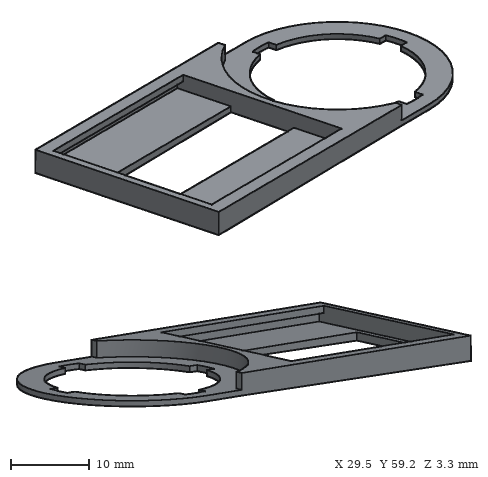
import cadquery as cq

total_length = 59.25
width = 29.5
ring_radius = width / 2
front_y = ring_radius - total_length

ring_thickness = 0.75
top_z = 2.95
underside_drop = 0.35
front_lean = 0.03

hole_radius = 11.25
notch_radius = 12.5
notch_width = 3.4

holder_back_y = -5.8
clearance_radius = 14.9

pocket_width = 25.5
pocket_back_y = -15.9
pocket_front_y = -43.3
pocket_floor_z = ring_thickness

lip_thickness = 0.95
groove_depth = 0.95
groove_width = pocket_width + 2 * groove_depth

window_width = 10.15
window_front_y = -42.25


def box_between(size_x, y_front, y_back, z_low, z_high):
    """Box centred on X between the given Y and Z limits."""
    return cq.Workplane("XY").box(
        size_x, y_back - y_front, z_high - z_low, centered=(True, False, False)
    ).translate((0, y_front, z_low))


def make_ring_plate():
    """Thin round-ended plate that runs under the back of the holder."""
    disc = cq.Workplane("XY").circle(ring_radius).extrude(ring_thickness)
    tail = box_between(width, pocket_back_y, 0, 0, ring_thickness)
    return disc.union(tail)


def make_holder():
    """Thick holder with a sloping underside and a concave back edge."""
    side_profile = [
        (holder_back_y, 0),
        (holder_back_y, top_z),
        (front_y + front_lean, top_z),
        (front_y, -underside_drop),
    ]
    block = cq.Workplane("YZ").polyline(side_profile).close().extrude(width / 2, both=True)
    clearance = (
        cq.Workplane("XY").workplane(offset=ring_thickness).circle(clearance_radius).extrude(top_z)
    )
    return block.cut(clearance)


def make_ring_opening():
    """Round opening with four notches ending on a common circle."""
    base = cq.Workplane("XY").workplane(offset=-underside_drop)
    depth = ring_thickness + underside_drop
    opening = base.circle(hole_radius).extrude(depth)
    notch_limit = base.circle(notch_radius).extrude(depth)
    bar_length = 2 * ring_radius
    for size_x, size_y in ((bar_length, notch_width), (notch_width, bar_length)):
        bar = base.rect(size_x, size_y).extrude(depth)
        opening = opening.union(bar.intersect(notch_limit))
    return opening


pocket = box_between(pocket_width, pocket_front_y, pocket_back_y, pocket_floor_z, top_z)
grooves = box_between(groove_width, pocket_front_y, pocket_back_y, pocket_floor_z, top_z - lip_thickness)
window = box_between(window_width, window_front_y, pocket_back_y, -underside_drop, top_z)

result = make_ring_plate().union(make_holder())
result = result.cut(make_ring_opening()).cut(pocket).cut(grooves).cut(window)